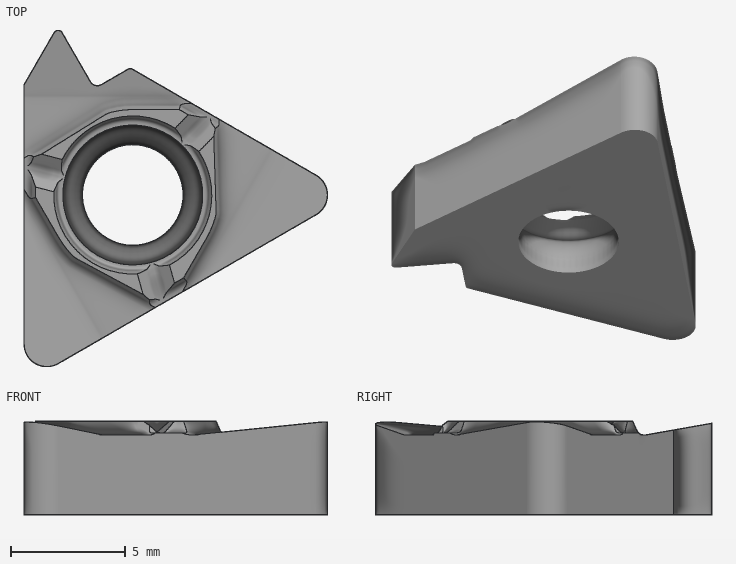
import cadquery as cq
import math


upper_side_angle = 60.0
overall_length = 14.72
overall_height = 4.1
inscribed_diameter = 9.52
corner_radius = 1.0
inradius = inscribed_diameter / 2
corner_drop = (inradius - corner_radius) * math.sqrt(3) + corner_radius

tooth_center_x = -3.27
tooth_tip_radius = 0.2
tooth_half_angle = math.radians(30)
root_x = -1.68
root_radius = 0.35
shoulder_radius = 0.2

floor_height = 3.5
rake_start = 4.3
rake_angle = math.radians(10)
rake_blend_radius = 0.5

front_angle = 90.0
side_angle = 180.0
breaker_taper = 24.0
breaker_front = 3.74
breaker_flank = 3.62
breaker_flank_angle = 121.8
breaker_corner_radius = 1.0
breaker_side = 4.25
breaker_foot_radius = 0.32

ledge_height = 3.59
ledge_foot_radius = 0.2

notch_angle = 165.5
notch_floor_half_width = 0.05
notch_blend_radius = 0.3
notch_wall_angle = math.radians(42)
wall_overshoot = 0.44

bore_diameter = 4.4
throat_height = 0.77
seat_radius = 2.09
counterbore_radius = 3.06
counterbore_blend_radius = 0.5
rim_radius = 3.12
rim_height = ledge_height
mouth_radius = 3.46
mouth_foot_radius = 3.33
mouth_foot_height = 3.74

symmetry_turns = (0, 120, 240)


def polar(distance, angle):
    """Point at a distance from the axis, angle in degrees."""
    turn = math.radians(angle)
    return (distance * math.cos(turn), distance * math.sin(turn))


def line_crossing(distance_a, angle_a, distance_b, angle_b):
    """Crossing of two lines, each given by its normal's length and angle from the axis."""
    a = math.radians(angle_a)
    b = math.radians(angle_b)
    spread = math.sin(b - a)
    x = (distance_a * math.sin(b) - distance_b * math.sin(a)) / spread
    y = (distance_b * math.cos(a) - distance_a * math.cos(b)) / spread
    return (x, y)


def three_around(solid):
    """The solid repeated every third of a turn about the bore axis."""
    copies = solid
    for turn in symmetry_turns[1:]:
        copies = copies.union(solid.rotate((0, 0, 0), (0, 0, 1), turn))
    return copies


def round_upright_edge(solid, corner, radius):
    """The solid with the upright edge at one outline corner filleted."""
    nearest = cq.selectors.NearestToPointSelector((*corner, overall_height / 2))
    return solid.edges("|Z").edges(nearest).fillet(radius)


def make_outline_prism():
    """Full-height triangle with its third corner ground to a thread tooth."""
    lower_corner = (-inradius, -inradius * math.sqrt(3))
    right_corner = (2 * inradius, 0)
    flank_slope = 1 / math.tan(tooth_half_angle)
    tip_round_loss = tooth_tip_radius * (1 / math.sin(tooth_half_angle) - 1)
    tip = (tooth_center_x, overall_length - corner_drop + tip_round_loss)
    flank_foot = (-inradius, tip[1] - (tooth_center_x + inradius) * flank_slope)
    root = (root_x, tip[1] - (root_x - tooth_center_x) * flank_slope)
    shoulder_normal = front_angle + math.degrees(tooth_half_angle)
    shoulder_normal_unit = polar(1, shoulder_normal)
    shoulder_distance = root[0] * shoulder_normal_unit[0] + root[1] * shoulder_normal_unit[1]
    shoulder = line_crossing(inradius, upper_side_angle, shoulder_distance, shoulder_normal)

    corners = [lower_corner, right_corner, shoulder, root, tip, flank_foot]
    prism = cq.Workplane("XY").polyline(corners).close().extrude(overall_height)
    for corner, radius in (
        (lower_corner, corner_radius),
        (right_corner, corner_radius),
        (shoulder, shoulder_radius),
        (root, root_radius),
        (tip, tooth_tip_radius),
    ):
        prism = round_upright_edge(prism, corner, radius)
    return prism


def breaker_cut_profile(wall_distance, cut_floor, foot_radius):
    """Section of the space outside a chip breaker wall: sloped wall, round foot, level floor."""
    taper = math.radians(breaker_taper)
    sharp_foot = wall_distance + (overall_height - cut_floor) * math.tan(taper)
    foot_turn = math.pi / 2 - taper
    foot_run = foot_radius * math.tan(foot_turn / 2)
    foot_center = (sharp_foot + foot_run, cut_floor + foot_radius)
    return (
        cq.Workplane("XZ")
        .moveTo(wall_distance, overall_height)
        .lineTo(sharp_foot - foot_run * math.sin(taper), cut_floor + foot_run * math.cos(taper))
        .threePointArc(
            (
                foot_center[0] - foot_radius * math.sin(foot_turn / 2),
                foot_center[1] - foot_radius * math.cos(foot_turn / 2),
            ),
            (foot_center[0], cut_floor),
        )
        .lineTo(overall_length, cut_floor)
        .lineTo(overall_length, overall_height)
        .close()
    )


def make_breaker_cuts():
    """Space cleared around one third of the chip breaker, as separate solids."""
    corner_center_distance = breaker_front - breaker_corner_radius
    corner_span = math.degrees(
        math.acos((breaker_flank - breaker_corner_radius) / corner_center_distance)
    )
    corner_angle = breaker_flank_angle - corner_span
    corner_center = polar(corner_center_distance, corner_angle)
    corner_section = (breaker_corner_radius, floor_height, breaker_foot_radius)
    upright_axis = ((0, 0, 0), (0, 1, 0))
    front_section = (breaker_front, floor_height, breaker_foot_radius)
    flank_section = (breaker_flank, floor_height, breaker_foot_radius)
    side_section = (breaker_side, ledge_height, ledge_foot_radius)
    front = breaker_cut_profile(*front_section).extrude(overall_length)
    arc = breaker_cut_profile(*front_section).revolve(corner_angle - front_angle, *upright_axis)
    corner = breaker_cut_profile(*corner_section).revolve(corner_span, *upright_axis)
    flank = breaker_cut_profile(*flank_section).extrude(overall_length, both=True)
    side = breaker_cut_profile(*side_section).extrude(overall_length, both=True)

    corner = corner.rotate((0, 0, 0), (0, 0, 1), corner_angle).translate((*corner_center, 0))
    return [corner] + [
        solid.rotate((0, 0, 0), (0, 0, 1), angle)
        for solid, angle in (
            (front, front_angle),
            (arc, front_angle),
            (flank, breaker_flank_angle),
            (side, side_angle),
        )
    ]


def make_rake_wedge():
    """Ramp that rises from the floor toward the tooth."""
    blend = rake_blend_radius * math.tan(rake_angle / 2)
    blend_rise = rake_blend_radius * (1 - math.cos(rake_angle / 2))
    profile = (
        cq.Workplane("YZ", origin=(-overall_length, 0, 0))
        .moveTo(rake_start - blend, 0)
        .lineTo(rake_start - blend, floor_height)
        .threePointArc(
            (
                rake_start - blend + rake_blend_radius * math.sin(rake_angle / 2),
                floor_height + blend_rise,
            ),
            (
                rake_start + blend * math.cos(rake_angle),
                floor_height + blend * math.sin(rake_angle),
            ),
        )
        .lineTo(rake_start + overall_length, floor_height + overall_length * math.tan(rake_angle))
        .lineTo(rake_start + overall_length, 0)
        .close()
    )
    return profile.extrude(2 * overall_length)


def make_notch():
    """V-shaped groove with a narrow floor, running outward from the bore."""
    sharp_half_width = notch_floor_half_width + notch_blend_radius * math.tan(notch_wall_angle / 2)
    wall_rise = overall_height - ledge_height + wall_overshoot
    wall_run = wall_rise / math.tan(notch_wall_angle)
    profile = [
        (-sharp_half_width, ledge_height),
        (sharp_half_width, ledge_height),
        (sharp_half_width + wall_run, ledge_height + wall_rise),
        (-sharp_half_width - wall_run, ledge_height + wall_rise),
    ]
    notch = cq.Workplane("YZ").polyline(profile).close().extrude(overall_length)
    notch = notch.edges("|X").edges("<Z").fillet(notch_blend_radius)
    return notch.rotate((0, 0, 0), (0, 0, 1), notch_angle)


def make_bore():
    """Through hole with a convex screw seat, a counterbore and a flared mouth."""
    throat = bore_diameter / 2
    blend_center_x = counterbore_radius - counterbore_blend_radius
    seat_center_x = throat + seat_radius
    lean = math.acos((seat_center_x - blend_center_x) / (seat_radius + counterbore_blend_radius))
    blend_center_z = throat_height + (seat_radius + counterbore_blend_radius) * math.sin(lean)

    def seat_point(turn):
        return (seat_center_x - seat_radius * math.cos(turn), throat_height + seat_radius * math.sin(turn))

    def blend_point(turn):
        return (
            blend_center_x + counterbore_blend_radius * math.cos(turn),
            blend_center_z - counterbore_blend_radius * math.sin(turn),
        )

    profile = (
        cq.Workplane("XZ")
        .lineTo(throat, 0)
        .lineTo(throat, throat_height)
        .threePointArc(seat_point(lean / 2), seat_point(lean))
        .threePointArc(blend_point(lean / 2), blend_point(0))
        .lineTo(counterbore_radius, rim_height)
        .lineTo(rim_radius, rim_height)
        .tangentArcPoint((mouth_foot_radius, mouth_foot_height), relative=False)
        .lineTo(mouth_radius, overall_height)
        .lineTo(0, overall_height)
        .close()
    )
    return profile.revolve(360, (0, 0, 0), (0, 1, 0))


prism = make_outline_prism()
result = prism
for breaker_cut in make_breaker_cuts():
    result = result.cut(three_around(breaker_cut))
result = result.union(prism.intersect(three_around(make_rake_wedge())))
result = result.cut(three_around(make_notch())).cut(make_bore())